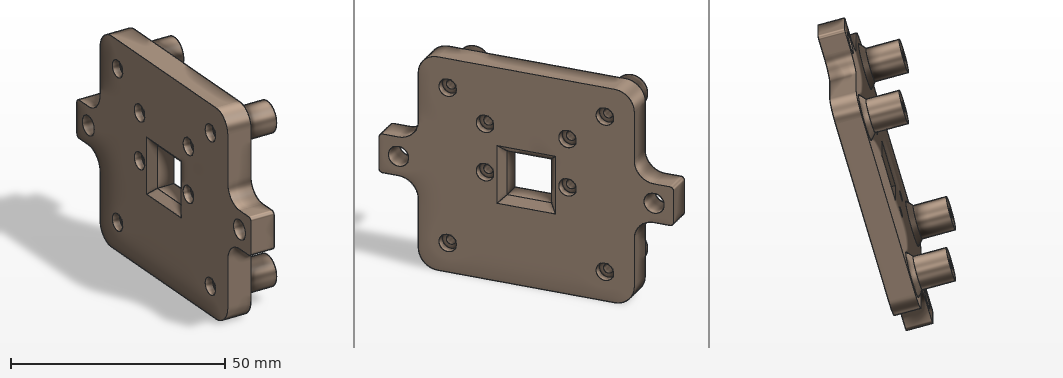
import cadquery as cq
import math

overall_length = 75.0
total_depth = 15.8
plate_side = 55.0
plate_thickness = 6.45
corner_radius = 5.0

lug_width = 10.0
lug_tip_radius = 1.0
lug_root_radius = 5.0
lug_hole_diameter = 5.1
lug_hole_spacing = overall_length - lug_width

standoff_spacing = 40.0
standoff_diameter = 8.1
standoff_foot_diameter = 11.1
standoff_foot_height = 1.35

screw_hole_diameter = 2.4
counterbore_diameter = 4.4
counterbore_depth = 2.0
inner_hole_spacing_x = 21.0
inner_hole_spacing_z = 12.45

window_side = 11.25
window_bevel = 1.8
window_bevel_angle = 45

standoff_points = [
    (x * standoff_spacing / 2, z * standoff_spacing / 2) for x in (-1, 1) for z in (-1, 1)
]
inner_hole_points = [
    (x * inner_hole_spacing_x / 2, z) for x in (-1, 1) for z in (0, inner_hole_spacing_z)
]


def sketch_plane(depth):
    """XZ plane at Y = depth; a negative extrusion runs toward +Y."""
    return cq.Workplane("XZ", origin=(0, depth, 0))


def cylinders(points, diameter, start, end):
    """Round bars along Y from Y = start to Y = end."""
    return sketch_plane(start).pushPoints(points).circle(diameter / 2).extrude(start - end)


def make_plate():
    """Rounded square plate with two lugs blended into its side edges."""
    square = sketch_plane(0).rect(plate_side, plate_side).extrude(-plate_thickness)
    square = square.edges("|Y").fillet(corner_radius)
    lug_bar = sketch_plane(0).rect(overall_length, lug_width).extrude(-plate_thickness)
    lug_bar = lug_bar.edges("|Y").fillet(lug_tip_radius)
    plate = square.union(lug_bar)
    root_zone = cq.selectors.BoxSelector(
        (-plate_side / 2 - lug_tip_radius, 0, -lug_width),
        (plate_side / 2 + lug_tip_radius, plate_thickness, lug_width),
    )
    return plate.edges("|Y").edges(root_zone).fillet(lug_root_radius)


def make_standoffs():
    """Four round posts, each widening into a conical foot on the back of the plate."""
    posts = cylinders(standoff_points, standoff_diameter, plate_thickness, total_depth)
    foot_growth = (standoff_foot_diameter - standoff_diameter) / 2
    foot_taper = math.degrees(math.atan2(foot_growth, standoff_foot_height))
    feet = (
        sketch_plane(plate_thickness)
        .pushPoints(standoff_points)
        .circle(standoff_foot_diameter / 2)
        .extrude(-standoff_foot_height, taper=foot_taper)
    )
    return posts.union(feet)


def make_window():
    """Square through opening that widens toward the front face."""
    opening = sketch_plane(0).rect(window_side, window_side).extrude(-plate_thickness)
    mouth_side = window_side + 2 * window_bevel
    bevel = sketch_plane(0).rect(mouth_side, mouth_side).extrude(-window_bevel, taper=window_bevel_angle)
    return opening.union(bevel)


screw_points = standoff_points + inner_hole_points
lug_hole_points = [(-lug_hole_spacing / 2, 0), (lug_hole_spacing / 2, 0)]

result = (
    make_plate()
    .union(make_standoffs())
    .cut(make_window())
    .cut(cylinders(lug_hole_points, lug_hole_diameter, 0, plate_thickness))
    .cut(cylinders(screw_points, screw_hole_diameter, 0, total_depth))
    .cut(cylinders(screw_points, counterbore_diameter, 0, counterbore_depth))
)